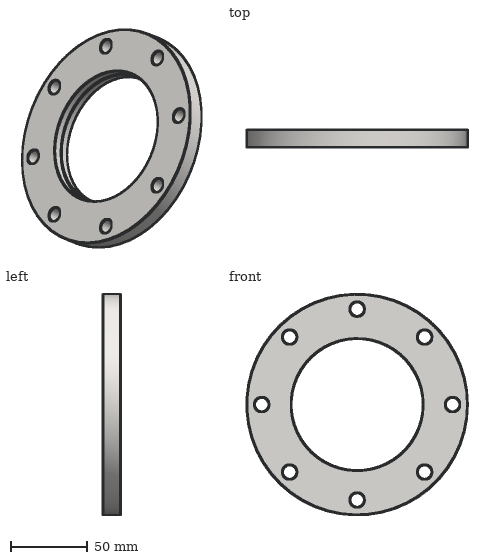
import cadquery as cq

outer_diameter = 145.0
bore_diameter = 86.0
thickness = 12.0
edge_chamfer = 0.5

recess_diameter = 88.0
recess_depth = thickness / 2

bolt_circle_diameter = 125.0
bolt_hole_diameter = 9.0
bolt_hole_count = 8


def disc(diameter, length):
    """Cylinder along Y that starts at the +Y face and runs toward -Y."""
    return cq.Workplane("XZ", origin=(0, thickness / 2, 0)).circle(diameter / 2).extrude(length)


def make_stepped_ring():
    """Ring with a through bore that widens toward the +Y face."""
    ring = disc(outer_diameter, thickness).cut(disc(bore_diameter, thickness))
    return ring.cut(disc(recess_diameter, recess_depth))


def make_bolt_holes():
    """Cylinders that cut the through bolt holes."""
    return (
        cq.Workplane("XZ", origin=(0, thickness / 2, 0))
        .polarArray(bolt_circle_diameter / 2, 0, 360, bolt_hole_count)
        .circle(bolt_hole_diameter / 2)
        .extrude(thickness)
    )


def chamfer_both_faces(body):
    """Break the rim, bore and bolt hole edges on both flat faces."""
    return body.faces("<Y or >Y").edges().chamfer(edge_chamfer)


result = chamfer_both_faces(make_stepped_ring().cut(make_bolt_holes()))